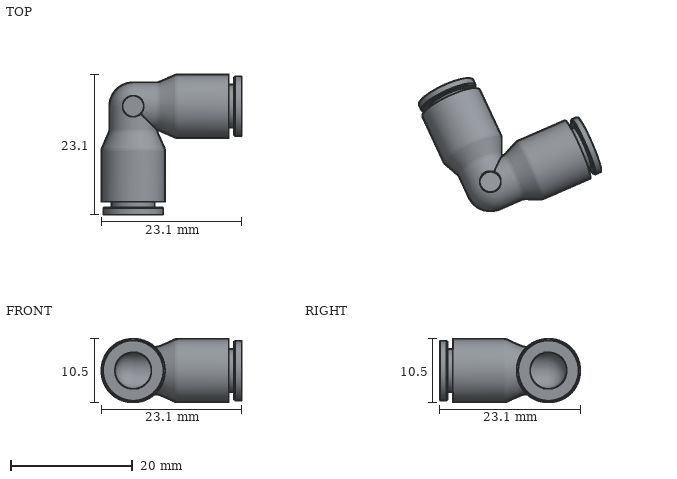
import cadquery as cq

overall_length = 23.1
socket_diameter = 10.5
socket_radius = socket_diameter / 2
arm_length = overall_length - socket_radius

elbow_radius = 3.95
bore_radius = 3.0
taper_start = 4.14
taper_end = 7.05
taper_blend_radius = 1.0
socket_end = 15.71

sleeve_radius = 3.58
ring_radius = 4.95
ring_thickness = 1.3
ring_mouth_fillet = 0.2
ring_back_chamfer = 0.23

recess_radius = 1.73
recess_depth = 0.6


def make_arm_body():
    """Turned body along +X: elbow tube, taper with blended ends, socket."""
    body = (
        cq.Workplane("XY")
        .moveTo(0, 0)
        .lineTo(0, elbow_radius)
        .lineTo(taper_start, elbow_radius)
        .lineTo(taper_end, socket_radius)
        .lineTo(socket_end, socket_radius)
        .lineTo(socket_end, 0)
        .close()
        .revolve(360, (0, 0, 0), (1, 0, 0))
    )
    taper_edges = body.faces("%CONE").edges("%CIRCLE")
    return taper_edges.fillet(taper_blend_radius)


def make_release_ring():
    """Narrow sleeve leaving the socket, ending in a ring rounded at the mouth and chamfered behind."""
    ring_start = arm_length - ring_thickness
    sleeve = (
        cq.Workplane("YZ", origin=(socket_end, 0, 0))
        .circle(sleeve_radius)
        .extrude(ring_start - socket_end)
    )
    ring = (
        cq.Workplane("YZ", origin=(ring_start, 0, 0))
        .circle(ring_radius)
        .extrude(ring_thickness)
        .faces("<X")
        .edges()
        .chamfer(ring_back_chamfer)
        .faces(">X")
        .edges()
        .fillet(ring_mouth_fillet)
    )
    return sleeve.union(ring)


def join_at_corner(arm, corner_radius):
    """Join an arm along +X, its copy along -Y and a ball at the corner."""
    second_arm = arm.rotate((0, 0, 0), (0, 0, 1), -90)
    corner = cq.Workplane("XY").sphere(corner_radius)
    return arm.union(second_arm).union(corner)


outer = join_at_corner(make_arm_body().union(make_release_ring()), elbow_radius)

bore_arm = cq.Workplane("YZ").circle(bore_radius).extrude(arm_length)
bore = join_at_corner(bore_arm, bore_radius)

recess = (
    cq.Workplane("XY", origin=(0, 0, elbow_radius - recess_depth))
    .circle(recess_radius)
    .extrude(2 * recess_depth)
)

result = outer.cut(bore).cut(recess)